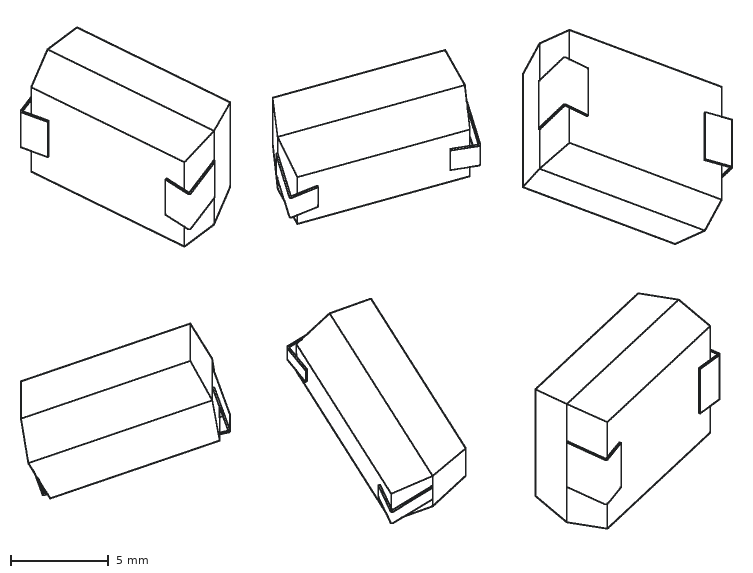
import cadquery as cq
import math

body_length = 10.0
body_height = 8.0
body_depth = 4.5
draft_angle = 10.0

strip_thickness = 0.1
strip_width = 3.0
overall_depth = 4.79
foot_length = 1.47
foot_angle = math.radians(7.0)
anchor_length = 0.5

half_depth = body_depth / 2
bend_x = body_length / 2
leg_outer_x = bend_x + strip_thickness
upper_bend_y = -strip_thickness
foot_bend_y = half_depth - overall_depth + strip_thickness


def body_half(direction):
    """Half of the body, tapering from the parting plane towards direction * Y."""
    return (
        cq.Workplane("XZ")
        .rect(body_length, body_height)
        .extrude(-direction * half_depth, taper=draft_angle)
    )


def on_bend(bend_y, angle):
    """Point on the rounded outside of a bend, at an angle measured from +X."""
    return (
        bend_x + strip_thickness * math.cos(angle),
        bend_y + strip_thickness * math.sin(angle),
    )


def terminal():
    """Terminal at the +X end: buried anchor, upright leg and inclined foot."""
    foot_normal = -math.pi / 2 - foot_angle
    foot_outer_start = on_bend(foot_bend_y, foot_normal)
    foot_run = foot_length * math.cos(foot_angle)
    foot_rise = foot_length * math.sin(foot_angle)
    foot_outer_end = (foot_outer_start[0] - foot_run, foot_outer_start[1] + foot_rise)
    foot_inner_end = (bend_x - foot_run, foot_bend_y + foot_rise)
    anchor_x = bend_x - anchor_length

    return (
        cq.Workplane("XY")
        .moveTo(anchor_x, 0)
        .lineTo(bend_x, 0)
        .threePointArc(on_bend(upper_bend_y, math.pi / 4), (leg_outer_x, upper_bend_y))
        .lineTo(leg_outer_x, foot_bend_y)
        .threePointArc(on_bend(foot_bend_y, foot_normal / 2), foot_outer_start)
        .lineTo(*foot_outer_end)
        .lineTo(*foot_inner_end)
        .lineTo(bend_x, foot_bend_y)
        .lineTo(bend_x, upper_bend_y)
        .lineTo(anchor_x, upper_bend_y)
        .close()
        .extrude(strip_width / 2, both=True)
    )


right_terminal = terminal()
left_terminal = right_terminal.mirror("YZ")

result = body_half(1).union(body_half(-1)).union(right_terminal).union(left_terminal)